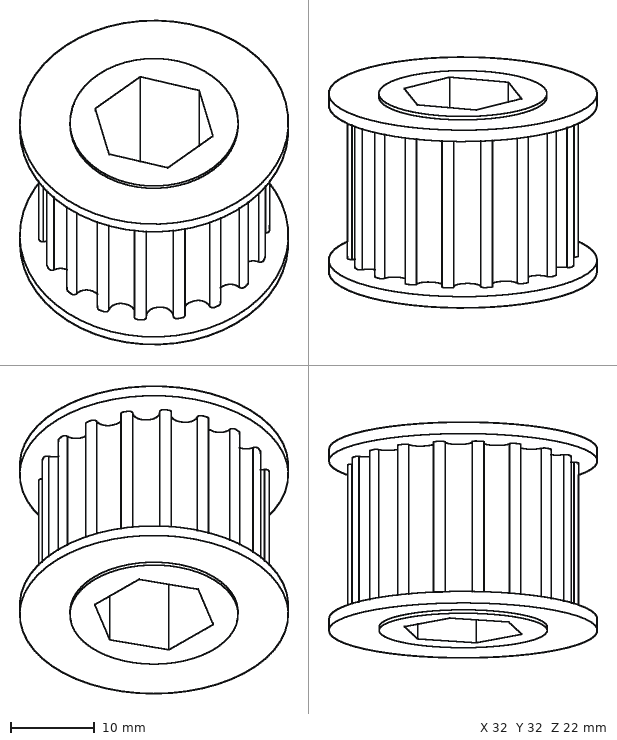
import cadquery as cq
import math

flange_radius = 16.0
total_height = 22.0

rim_thickness = 1.4
dish_depth = 0.4
hub_radius = 10.0
hex_across_flats = 12.7

tooth_count = 18
tooth_tip_radius = 13.75
groove_depth = 2.05
groove_half_width = 1.6
groove_floor_half_width = 0.13
tip_round = 0.45

flange_thickness = rim_thickness + dish_depth
tooth_length = total_height - 2 * flange_thickness


def groove_cutter():
    """Groove on the +X side: narrow flat floor, quarter-round corners, straight walls, rounded lips."""
    floor_x = tooth_tip_radius - groove_depth
    corner_radius = groove_half_width - groove_floor_half_width
    corner_x = floor_x + corner_radius
    corner_mid_x = corner_x - corner_radius * math.cos(math.pi / 4)
    corner_mid_y = groove_floor_half_width + corner_radius * math.sin(math.pi / 4)
    lip_center_y = groove_half_width + tip_round
    lip_center_x = math.sqrt((tooth_tip_radius - tip_round) ** 2 - lip_center_y ** 2)
    lip_angle = math.atan2(lip_center_y, lip_center_x)
    lip_end_x = tooth_tip_radius * math.cos(lip_angle)
    lip_end_y = tooth_tip_radius * math.sin(lip_angle)
    lip_mid_angle = (lip_angle - math.pi / 2) / 2
    lip_mid_x = lip_center_x + tip_round * math.cos(lip_mid_angle)
    lip_mid_y = lip_center_y + tip_round * math.sin(lip_mid_angle)
    return (
        cq.Workplane("XY")
        .workplane(offset=flange_thickness)
        .moveTo(lip_end_x, -lip_end_y)
        .threePointArc((lip_mid_x, -lip_mid_y), (lip_center_x, -groove_half_width))
        .lineTo(corner_x, -groove_half_width)
        .threePointArc((corner_mid_x, -corner_mid_y), (floor_x, -groove_floor_half_width))
        .lineTo(floor_x, groove_floor_half_width)
        .threePointArc((corner_mid_x, corner_mid_y), (corner_x, groove_half_width))
        .lineTo(lip_center_x, groove_half_width)
        .threePointArc((lip_mid_x, lip_mid_y), (lip_end_x, lip_end_y))
        .lineTo(flange_radius, lip_end_y)
        .lineTo(flange_radius, -lip_end_y)
        .close()
        .extrude(tooth_length)
    )


def pulley_blank():
    """Half profile in the XZ plane, revolved about Z: hub ends, dished flanges and tooth cylinder."""
    top = total_height
    return (
        cq.Workplane("XZ")
        .polyline([
            (0, 0),
            (hub_radius, 0),
            (hub_radius, dish_depth),
            (tooth_tip_radius, dish_depth),
            (flange_radius, 0),
            (flange_radius, rim_thickness),
            (tooth_tip_radius, flange_thickness),
            (tooth_tip_radius, top - flange_thickness),
            (flange_radius, top - rim_thickness),
            (flange_radius, top),
            (tooth_tip_radius, top - dish_depth),
            (hub_radius, top - dish_depth),
            (hub_radius, top),
            (0, top),
        ])
        .close()
        .revolve(360, (0, 0, 0), (0, 1, 0))
    )


def hex_bore():
    across_corners = hex_across_flats / math.cos(math.pi / 6)
    return cq.Workplane("XY").polygon(6, across_corners).extrude(total_height)


result = pulley_blank().cut(hex_bore())

groove = groove_cutter()
tooth_pitch = 360 / tooth_count
for index in range(tooth_count):
    groove_angle = 90 + index * tooth_pitch
    result = result.cut(groove.rotate((0, 0, 0), (0, 0, 1), groove_angle))